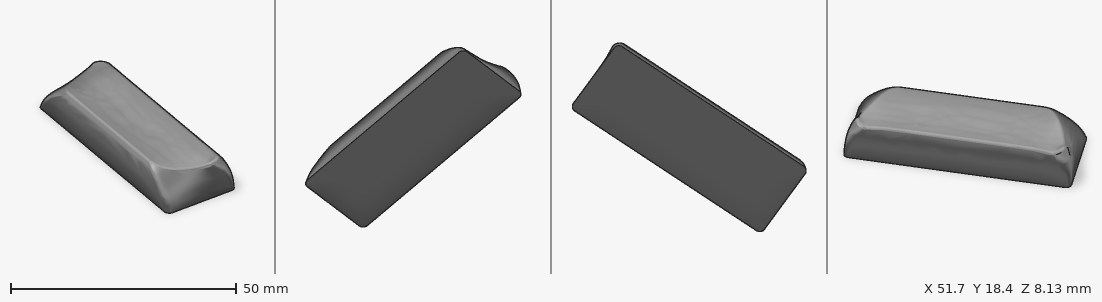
import cadquery as cq

length = 51.68
width = 18.4
height = 8.12

half_length = length / 2
half_width = width / 2

wall_sections = [
    (0.0, 0.0, 0.0, 0.0, 0.0, 1.3),
    (1.5, 0.05, 0.08, 0.02, 0.7, 1.4),
    (3.2, 0.22, 0.20, 0.02, 1.8, 1.7),
    (5.6, 0.85, 0.55, 0.08, 4.3, 2.2),
    (7.3, 1.80, 0.95, 0.30, 7.0, 2.5),
    (8.0, 2.50, 1.55, 0.45, 8.4, 2.6),
    (8.5, 3.40, 2.60, 0.60, 9.5, 2.7),
]

dish_depth = 0.97
dish_floor = height - dish_depth
dish_half_width = 6.4
dish_reach = 11.0
dish_stations = [
    (14.0, 0.84),
    (16.6, 0.81),
    (18.6, 0.68),
    (21.0, 0.50),
    (23.5, 2.0),
    (26.5, 4.0),
]
cutter_top = dish_floor + 20.0

rim_radius = 1.0
rim_lowest = 6.0


def wall_outline(z, back_lean, front_lean, back_corner_lean, front_corner_lean, radius):
    """Rounded trapezoid outline of the wall at height z."""
    back_x = half_length - back_corner_lean
    front_x = half_length - front_corner_lean
    back_y = half_width - back_lean
    front_y = front_lean - half_width
    corners = [(-front_x, front_y), (front_x, front_y), (back_x, back_y), (-back_x, back_y)]
    outline = cq.Wire.makePolygon([cq.Vector(x, y, z) for x, y in corners], close=True)
    return outline.fillet2D(radius, outline.Vertices())


def dish_outline(x, rise):
    """Cutter section across the part: an arc below, open space above."""
    edge_z = dish_floor + rise * (dish_reach / dish_half_width) ** 2
    section = (
        cq.Workplane("YZ", origin=(x, 0, 0))
        .moveTo(-dish_reach, edge_z)
        .threePointArc((0, dish_floor), (dish_reach, edge_z))
        .lineTo(dish_reach, cutter_top)
        .lineTo(-dish_reach, cutter_top)
        .close()
    )
    return section.val()


def make_body():
    outlines = [wall_outline(*section) for section in wall_sections]
    return cq.Workplane(cq.Solid.makeLoft(outlines))


def make_dish():
    left = [dish_outline(-x, rise) for x, rise in reversed(dish_stations)]
    right = [dish_outline(x, rise) for x, rise in dish_stations]
    return cq.Workplane(cq.Solid.makeLoft(left + right))


def round_rim(part):
    rim = [edge for edge in part.edges().vals() if edge.BoundingBox().zmin > rim_lowest]
    return part.newObject(rim).fillet(rim_radius)


result = round_rim(make_body().cut(make_dish()))